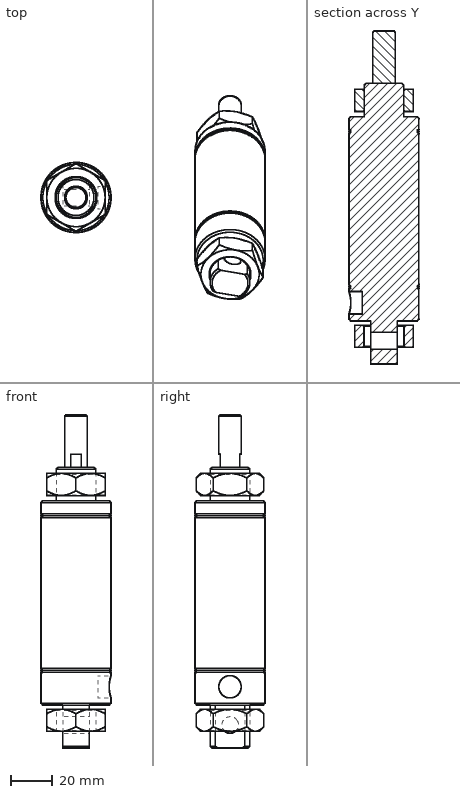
import cadquery as cq
import math

total_length = 161.3

barrel_diameter = 34.0
barrel_radius = barrel_diameter / 2
barrel_bottom = 20.8
barrel_top = 119.8
barrel_chamfer = 1.0

tooth_pitch = 1.0
tooth_depth = 1.0
teeth_per_groove = 2
upper_groove_start = 113.4
lower_groove_start = 36.6

thread_diameter = 19.4
thread_chamfer = 1.0
collar_top = 136.0
tang_thickness = 12.9

tang_hole_diameter = 8.0
tang_hole_bottom = 7.3
tang_hole_z = tang_hole_bottom + tang_hole_diameter / 2

port_diameter = 10.8
port_depth = 6.5
port_z = 29.7

rod_diameter = 11.0
rod_chamfer = 0.6
rod_flat_length = 6.3
rod_across_flats = 9.7

nut_across_flats = 28.4
nut_height = 10.8
nut_face_diameter = 28.2
nut_bore_chamfer = 0.5
lower_nut_bottom = 8.0
upper_nut_bottom = 122.3


def chamfered_cylinder(diameter, bottom, top, bottom_chamfer=0.0, top_chamfer=0.0):
    """Upright cylinder on the Z axis with optional 45 degree end chamfers."""
    cylinder = cq.Workplane("XY").workplane(offset=bottom).circle(diameter / 2).extrude(top - bottom)
    if bottom_chamfer:
        cylinder = cylinder.faces("<Z").chamfer(bottom_chamfer)
    if top_chamfer:
        cylinder = cylinder.faces(">Z").chamfer(top_chamfer)
    return cylinder


def flat_sided_envelope(thickness, diameter, bottom, height, axis):
    """Box that trims a cylinder to two flats facing along the given axis."""
    size_x, size_y = (thickness, diameter) if axis == "X" else (diameter, thickness)
    return cq.Workplane("XY").workplane(offset=bottom).rect(size_x, size_y).extrude(height)


def groove_tooth(step_z, direction):
    """Ring with a square step at step_z and a cone widening to the barrel surface."""
    cone_end_z = step_z + direction * tooth_pitch
    return (
        cq.Workplane("XZ")
        .moveTo(barrel_radius, step_z)
        .lineTo(barrel_radius - tooth_depth, step_z)
        .lineTo(barrel_radius, cone_end_z)
        .close()
        .revolve(360, (0, 0, 0), (0, 1, 0))
    )


def make_housing():
    """Barrel with its end grooves and port, the threaded collar and the tang."""
    housing = chamfered_cylinder(barrel_diameter, barrel_bottom, barrel_top, barrel_chamfer, barrel_chamfer)

    for start, direction in ((upper_groove_start, -1), (lower_groove_start, 1)):
        for i in range(teeth_per_groove):
            housing = housing.cut(groove_tooth(start + direction * i * tooth_pitch, direction))

    port = (
        cq.Workplane("YZ", origin=(barrel_radius - port_depth, 0, port_z))
        .circle(port_diameter / 2)
        .extrude(port_depth)
    )
    housing = housing.cut(port)

    collar = chamfered_cylinder(thread_diameter, barrel_top, collar_top, top_chamfer=thread_chamfer)

    tang = chamfered_cylinder(thread_diameter, 0, barrel_bottom, bottom_chamfer=thread_chamfer)
    tang = tang.intersect(flat_sided_envelope(tang_thickness, thread_diameter, 0, barrel_bottom, "X"))
    tang_hole = (
        cq.Workplane("YZ", origin=(0, 0, tang_hole_z))
        .circle(tang_hole_diameter / 2)
        .extrude(tang_thickness, both=True)
    )
    tang = tang.cut(tang_hole)

    return housing.union(collar).union(tang)


def make_rod():
    """Piston rod standing on the collar, with two wrench flats at its base."""
    flats_top = collar_top + rod_flat_length
    rod = chamfered_cylinder(rod_diameter, flats_top, total_length, top_chamfer=rod_chamfer)
    base = chamfered_cylinder(rod_diameter, collar_top, flats_top)
    base = base.intersect(
        flat_sided_envelope(rod_across_flats, rod_diameter, collar_top, rod_flat_length, "Y")
    )
    return rod.union(base)


def make_nut(bottom):
    """Hexagon nut with two faces square to X and its corners and bore chamfered at both ends."""
    across_corners = nut_across_flats / math.cos(math.pi / 6)
    corner_chamfer = (across_corners - nut_face_diameter) / 2
    hexagon = (
        cq.Workplane("XY")
        .workplane(offset=bottom)
        .transformed(rotate=(0, 0, 90))
        .polygon(6, across_corners)
        .extrude(nut_height)
    )
    corner_envelope = chamfered_cylinder(
        across_corners, bottom, bottom + nut_height, corner_chamfer, corner_chamfer
    )
    bore = chamfered_cylinder(thread_diameter, bottom, bottom + nut_height)
    nut = hexagon.intersect(corner_envelope).cut(bore)
    return nut.edges(cq.selectors.RadiusNthSelector(0)).chamfer(nut_bore_chamfer)


housing = make_housing()
rod = make_rod()
nuts = [make_nut(bottom) for bottom in (lower_nut_bottom, upper_nut_bottom)]

result = cq.Compound.makeCompound([housing.val(), rod.val(), *[nut.val() for nut in nuts]])